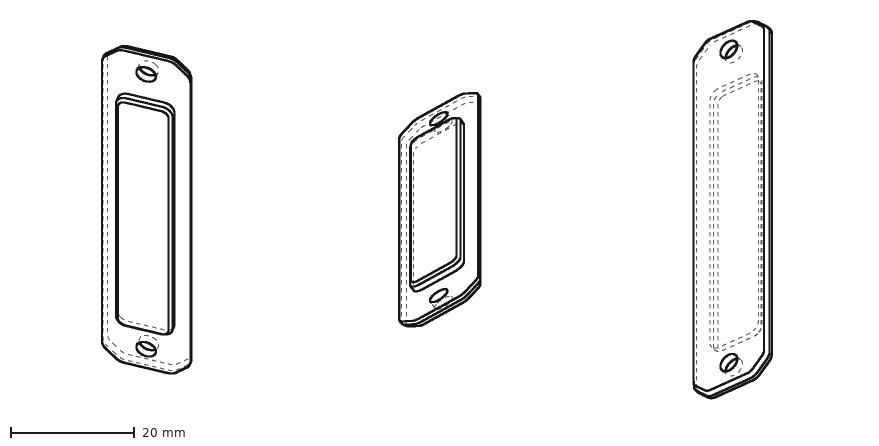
import cadquery as cq

plate_width = 15.0
plate_length = 75.0
plate_thickness = 1.5
corner_cut = 3.0
corner_blend_radius = 2.0
back_bevel_depth = 0.8
back_bevel_inset = 0.5

pad_width = 9.6
pad_length = 54.6
pad_height = 1.5
pad_corner_radius = 1.8
pad_chamfer = 0.5

hole_diameter = 3.3
hole_end_distance = 4.5
hole_spacing = plate_length - 2 * hole_end_distance


def make_plate():
    """Plate from Y = 0 back to +Y, with blended corner cuts and a bevelled back rim."""
    plate = cq.Workplane("XZ").rect(plate_width, plate_length).extrude(-plate_thickness)
    plate = plate.edges("|Y").chamfer(corner_cut)
    plate = plate.edges("|Y").fillet(corner_blend_radius)
    return plate.faces(">Y").edges().chamfer(back_bevel_depth, back_bevel_inset)


def make_pad():
    """Rounded rectangular pad rising from Y = 0 toward -Y, with a bevelled front rim."""
    pad = cq.Workplane("XZ").rect(pad_width, pad_length).extrude(pad_height)
    pad = pad.edges("|Y").fillet(pad_corner_radius)
    return pad.faces("<Y").edges().chamfer(pad_chamfer)


def make_holes():
    """Through-hole cutters, one near each end of the plate."""
    return (
        cq.Workplane("XZ")
        .rarray(0.75, hole_spacing, 1, 2)
        .circle(hole_diameter / 2)
        .extrude(-plate_thickness)
    )


result = make_plate().union(make_pad()).cut(make_holes())